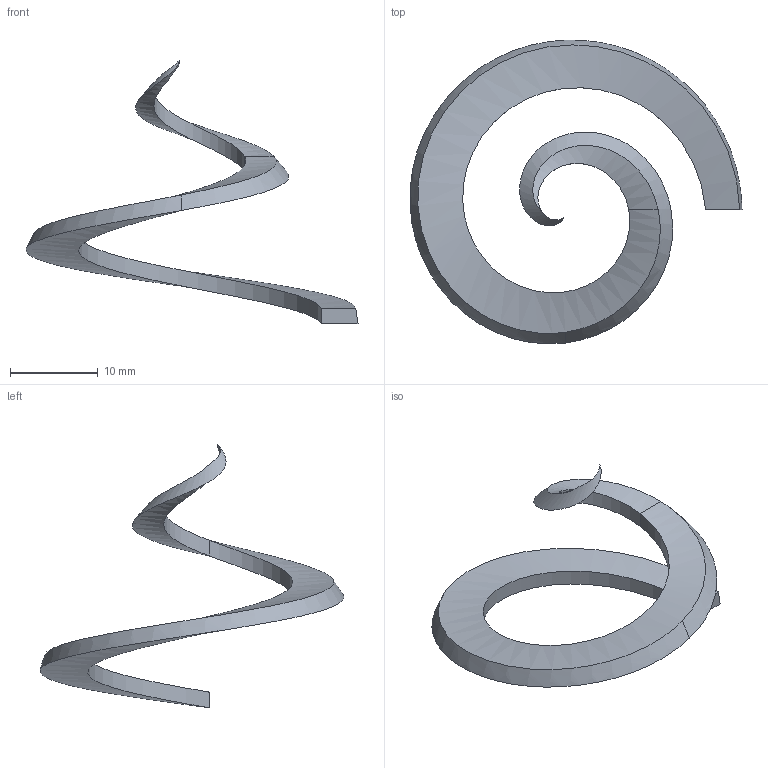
import cadquery as cq
import math

START_RADIUS = 15.98
RADIUS_LOSS_PER_TURN = 8.76
PITCH = 17.28
END_TURN = 1.714
STRIP_HEIGHT = 1.785
STRIP_WIDTH = 8.0
POINTS_PER_TURN = 64

BELL_FOOT_RADIUS = 20.115
BELL_FLANK = [(16.95, 10.0), (9.76, 20.0), (0.98, 30.0)]
BELL_TIP_HEIGHT = 31.2

SECTION_CORNERS = [
    (0.0, 0.0),
    (STRIP_WIDTH, 0.0),
    (STRIP_WIDTH, STRIP_HEIGHT),
    (0.0, STRIP_HEIGHT),
]


def spiral_point(corner, turn):
    """Position of a section corner after the given number of turns."""
    outward, upward = corner
    angle = 2 * math.pi * turn
    radius = START_RADIUS - RADIUS_LOSS_PER_TURN * turn + outward
    return cq.Vector(radius * math.cos(angle), radius * math.sin(angle), PITCH * turn + upward)


def spiral_edge(corner, first_turn, last_turn):
    """Spiral traced by a section corner between two turns."""
    turns = last_turn - first_turn
    steps = math.ceil(turns * POINTS_PER_TURN)
    points = [spiral_point(corner, first_turn + turns * i / steps) for i in range(steps + 1)]
    return cq.Edge.makeSpline(points)


def side_faces(first_turn, last_turn):
    """The four long faces of the strip between two turns."""
    edges = [spiral_edge(corner, first_turn, last_turn) for corner in SECTION_CORNERS]
    next_edges = edges[1:] + edges[:1]
    return [cq.Face.makeRuledSurface(edge, neighbour) for edge, neighbour in zip(edges, next_edges)]


def end_face(turn):
    """Flat section of the strip at the given turn."""
    corners = [spiral_point(corner, turn) for corner in SECTION_CORNERS]
    return cq.Face.makeFromWires(cq.Wire.makePolygon(corners, close=True))


def make_strip():
    split_turn = 1.0
    faces = side_faces(0.0, split_turn) + side_faces(split_turn, END_TURN)
    faces += [end_face(0.0), end_face(END_TURN)]
    return cq.Solid.makeSolid(cq.Shell.makeShell(faces))


def make_bell():
    profile_plane = cq.Plane(origin=(0, 0, 0), xDir=(0, -1, 0), normal=(-1, 0, 0))
    return (
        cq.Workplane(profile_plane)
        .lineTo(BELL_FOOT_RADIUS, 0)
        .spline(BELL_FLANK + [(0.0, BELL_TIP_HEIGHT)], includeCurrent=True)
        .close()
        .revolve(360, (0, 0, 0), (0, 1, 0))
    )


trimmed_strip = make_bell().intersect(cq.Workplane(make_strip()), clean=False)
result = trimmed_strip.solids()